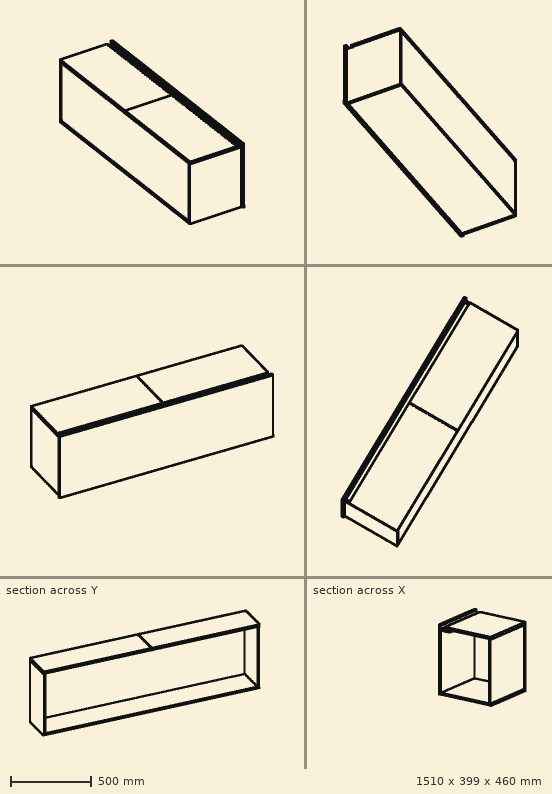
import cadquery as cq

width = 1510.0
depth = 399.0
height = 460.0

plate_thickness = 20.0
plate_chamfer = 3.8
plate_overhang = 10.0
plate_rise = 8.0
square_foot = 12.0

board = 15.0
carcass_width = width - 2 * plate_overhang
carcass_depth = depth - plate_thickness
inner_width = carcass_width - 2 * board

lid_thickness = 18.0
lid_gap = 3.0
lid_setback = 29.0
grip_bevel = 10.0
lid_width = (carcass_width - lid_gap) / 2
lid_depth = carcass_depth - lid_setback
carcass_height = height - plate_rise - lid_thickness

rail_width = 60.0


def box(x_size, y_size, z_size, x_min, y_min, z_min):
    """Box placed by its lowest corner."""
    block = cq.Workplane("XY").box(x_size, y_size, z_size, centered=False)
    return block.translate((x_min, y_min, z_min))


def make_cover_plate():
    """Plate with chamfered edges; the -Z edge is plain and its +Y corners stay square."""
    plate = box(width, plate_thickness, height, -width / 2, carcass_depth, 0)
    plate = plate.edges("not <Z").chamfer(plate_chamfer)
    foot = box(width, plate_thickness / 2, square_foot, -width / 2, depth - plate_thickness / 2, 0)
    return plate.union(foot)


def make_side(x_min):
    return box(board, carcass_depth, carcass_height, x_min, 0, 0)


def make_base():
    return box(inner_width, carcass_depth, board, -inner_width / 2, 0, 0)


def make_front_panel():
    """Panel between the sides, standing on the base."""
    return box(inner_width, board, carcass_height - board, -inner_width / 2, 0, board)


def make_rail():
    """Rail between the sides, flush with their tops and against the cover plate."""
    y_min = carcass_depth - rail_width
    z_min = carcass_height - board
    return box(inner_width, rail_width, board, -inner_width / 2, y_min, z_min)


def make_lid(x_min):
    """Lid whose +Y edge is bevelled underneath as a finger grip."""
    lid_top = carcass_height + lid_thickness
    profile = [
        (0, carcass_height),
        (lid_depth - grip_bevel, carcass_height),
        (lid_depth, carcass_height + grip_bevel),
        (lid_depth, lid_top),
        (0, lid_top),
    ]
    lid = cq.Workplane("YZ").polyline(profile).close().extrude(lid_width)
    return lid.translate((x_min, 0, 0))


cover_plate = make_cover_plate()
base = make_base()
front_panel = make_front_panel()
rail = make_rail()
sides = [make_side(x_min) for x_min in (-carcass_width / 2, inner_width / 2)]
lids = [make_lid(x_min) for x_min in (-carcass_width / 2, lid_gap / 2)]

result = cq.Compound.makeCompound([
    cover_plate.val(),
    base.val(),
    front_panel.val(),
    rail.val(),
    *[side.val() for side in sides],
    *[lid.val() for lid in lids],
])